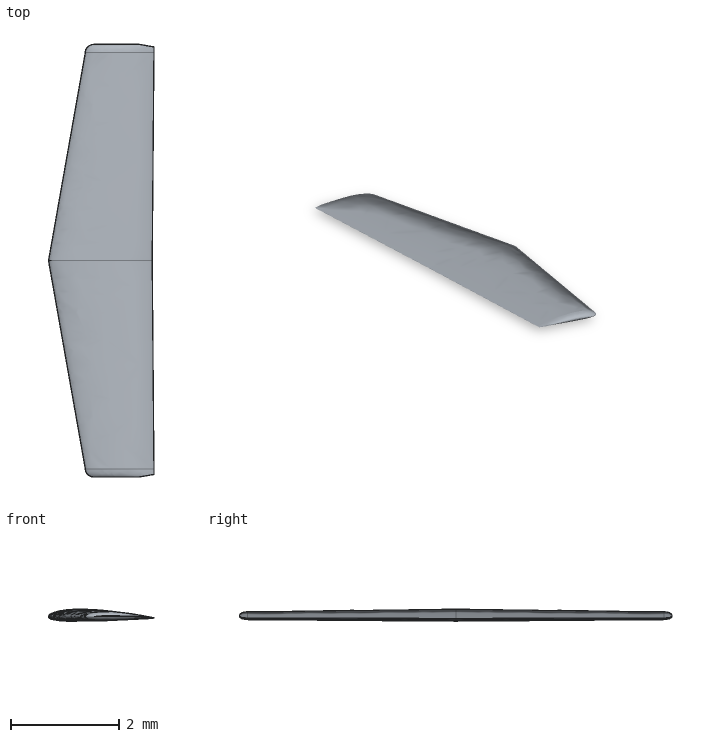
import cadquery as cq
import math

span = 8.0
cap_width = 0.15
root_chord = 1.92
tip_leading_x = 0.68
trailing_tip_x = 1.95
end_leading_x = 0.85

thickness_ratio = 0.12
camber_ratio = 0.02
camber_position = 0.4
trailing_drop_ratio = 0.018
trailing_gap_ratio = 0.002
points_per_side = 14

cap_angles = (30, 55, 75)
end_thickness_factor = 0.12
corner_length = 0.28
corner_depth = 0.05

half_span = span / 2
tip_y = half_span - cap_width
tip_chord = trailing_tip_x - tip_leading_x


def half_thickness(s):
    """Half thickness at chord fraction s, with a thin blunt trailing edge."""
    polynomial = 0.2969 * math.sqrt(s) - 0.1260 * s - 0.3516 * s**2 + 0.2843 * s**3 - 0.1036 * s**4
    return 5 * thickness_ratio * polynomial + trailing_gap_ratio / 2 * s


def camber_height(s):
    """Camber line made of two parabolas, tilted so the trailing edge drops."""
    if s < camber_position:
        reach = s / camber_position
    else:
        reach = (1 - s) / (1 - camber_position)
    return camber_ratio * (2 * reach - reach**2) - trailing_drop_ratio * s


def airfoil_wire(y, leading_x, chord, thickness_factor=1.0):
    """Closed airfoil outline in the plane at span position y."""

    def surface_point(s, side):
        height = camber_height(s) + side * thickness_factor * half_thickness(s)
        return cq.Vector(leading_x + s * chord, y, height * chord)

    fractions = [(1 - math.cos(math.pi * i / points_per_side)) / 2 for i in range(points_per_side + 1)]
    upper = [surface_point(s, 1) for s in reversed(fractions)]
    lower = [surface_point(s, -1) for s in fractions[1:]]
    skin = cq.Edge.makeSpline(upper + lower)
    trailing_edge = cq.Edge.makeLine(lower[-1], upper[0])
    return cq.Wire.assembleEdges([skin, trailing_edge])


def wing_panel():
    """Straight tapered panel from the root to the start of the tip cap."""
    root = airfoil_wire(0, 0, root_chord)
    tip = airfoil_wire(tip_y, tip_leading_x, tip_chord)
    return cq.Workplane(obj=cq.Solid.makeLoft([root, tip], True))


def tip_cap():
    """Cap whose thickness and leading edge round off toward the wing end."""
    sections = [airfoil_wire(tip_y, tip_leading_x, tip_chord)]
    for angle in cap_angles:
        rise = math.sin(math.radians(angle))
        fall = math.cos(math.radians(angle))
        leading_x = tip_leading_x + (end_leading_x - tip_leading_x) * (1 - fall)
        chord = trailing_tip_x - leading_x
        sections.append(airfoil_wire(tip_y + cap_width * rise, leading_x, chord, fall))
    end_chord = trailing_tip_x - end_leading_x
    sections.append(airfoil_wire(half_span, end_leading_x, end_chord, end_thickness_factor))
    return cq.Workplane(obj=cq.Solid.makeLoft(sections))


def trailing_corner():
    """Wedge that trims the trailing corner of the cap."""
    height = root_chord * thickness_ratio
    return (
        cq.Workplane("XY")
        .moveTo(trailing_tip_x - corner_length, half_span)
        .lineTo(trailing_tip_x, half_span - corner_depth)
        .lineTo(trailing_tip_x, half_span)
        .close()
        .extrude(height, both=True)
    )


half_wing = wing_panel().union(tip_cap().cut(trailing_corner()))
result = half_wing.union(half_wing.mirror("XZ"))